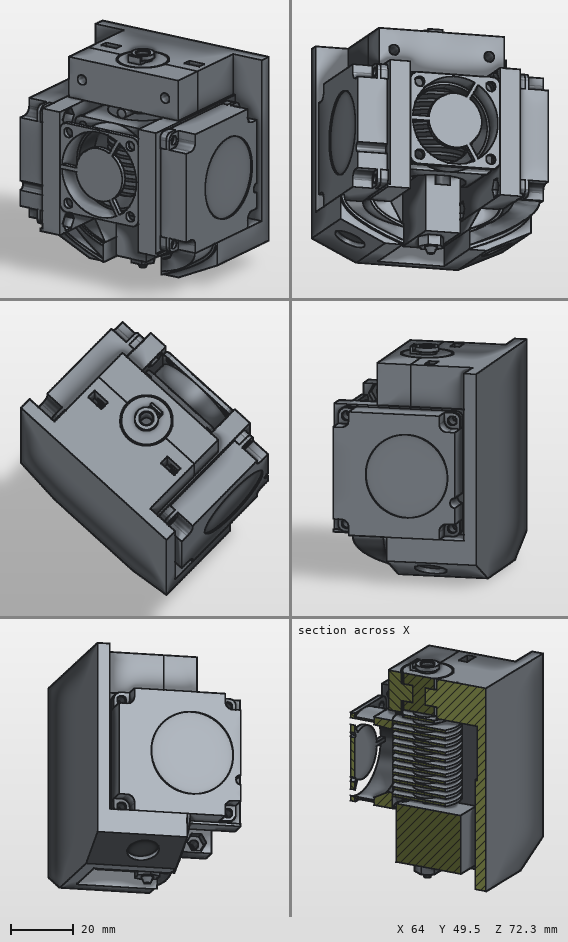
import cadquery as cq
import math


WIDTH = 64.0
HALF_WIDTH = WIDTH / 2
HEIGHT = 69.0
PLATE_THICKNESS = 4.05
FRONT_Y = -49.5
WALL_INNER_X = 15.1
WALL_OUTER_X = 21.8
WALL_BOTTOM_Z = 13.8
WALL_TOP_Z = 55.4
LIP_OUTER_X = 22.6
BASE_TOP_Z = 14.7
BASE_FRONT_Y = -29.5
CHAMFER_TOP_Z = 6.95
CHAMFER_BOTTOM_X = 17.05
CHAMFER_SLOPE = CHAMFER_TOP_Z / (HALF_WIDTH - CHAMFER_BOTTOM_X)
POCKET_HALF_WIDTH = 11.1
POCKET_SHOULDER_Z = 6.5
BACK_RECESS_HALF_WIDTH = 11.9
BACK_RECESS_DEPTH = 0.7

DISC_RECESS_DIAMETER = 10.3
DISC_RECESS_DEPTH = 1.65
DISC_RECESS_Y = -16.85
DISC_RECESS_Z = 3.55

DUCT_END_SLOPE = 0.36
RIM_FRONT_Y = -30.6
RIM_OUTER_END_Z = 0.1
DUCT_OUTER_X = 31.15
DUCT_OUTER_END_Z = 1.2
DUCT_INNER_X = 22.4
DUCT_INNER_END_Z = 5.6
RIM_INNER_X = 21.4
NEAR_DUCT_TOP_Y = -23.1
NEAR_DUCT_END_Y = -30.5
FAR_DUCT_TOP_Y = -41.0
DUCT_SECTIONS = 6

AXIS_Y = -24.5
BLOCK_HALF_WIDTH = 21.05
CLAMP_FRONT_Y = -35.6
CLAMP_SCREW_X = 16.0
CLAMP_SCREW_Z = 62.1
CLAMP_SCREW_DIAMETER = 3.3
NUT_SLOT_WIDTH = 5.8
NUT_SLOT_BACK_Y = -17.35
NUT_SLOT_FRONT_Y = -20.4
NUT_SUMP_WIDTH = 1.95
NUT_SUMP_LENGTH = 2.25
NUT_SUMP_DEPTH = 1.45

MOUNT_DIAMETER = 16.0
MOUNT_BORE_DIAMETER = 16.9
GROOVE_DIAMETER = 12.0
GROOVE_TOP_Z = 65.3
GROOVE_BOTTOM_Z = 59.3
FLANGE_BOTTOM_Z = 56.3
NECK_DIAMETER = 9.1
SMALL_FIN_TOP_Z = 54.8
FIN_DIAMETER = 22.35
FIN_THICKNESS = 1.0
FIN_COUNT = 11
FIN_TOP_Z = 52.1
FIN_BOTTOM_Z = 26.25
FIN_PITCH = (FIN_TOP_Z - FIN_THICKNESS - FIN_BOTTOM_Z) / (FIN_COUNT - 1)
PIN_DIAMETER = 3.2
PIN_X = -0.65
PIN_FRONT_Y = -35.7
PIN_Z = FIN_TOP_Z + PIN_DIAMETER / 2
BREAK_DIAMETER = 2.8
HEATER_LEFT_X = -4.5
HEATER_RIGHT_X = 7.0
HEATER_BACK_Y = -9.25
HEATER_FRONT_Y = -33.0
HEATER_BOTTOM_Z = 4.3
HEATER_TOP_Z = 24.2
CHANNEL_DIAMETER = 4.9
CHANNEL_BOTTOM_Z = 19.75
NOZZLE_HEX_CORNERS = 8.4
NOZZLE_HEX_BOTTOM_Z = 1.0
NOZZLE_CONE_DIAMETER = 4.0
NOZZLE_TIP_DIAMETER = 2.0
NOZZLE_HOLE_DIAMETER = 0.8
NOZZLE_HOLE_DEPTH = 1.1
COLLET_DIAMETER = 7.5
COLLET_NECK_DIAMETER = 6.0
OVERALL_HEIGHT = 72.3
COLLET_TOP_Z = 71.3
COLLET_FLANGE = 1.45
TUBE_DIAMETER = 4.2
TUBE_DEPTH = 6.5
TUBE_CHAMFER = 0.3
CLIP_WIDTH = 4.7
CLIP_FRONT_Y = -29.5
CLIP_THICKNESS = 0.9
TIP_Z = COLLET_TOP_Z - OVERALL_HEIGHT

FAN_SIZE = 30.0
FAN_BOTTOM_Z = 22.1
FAN_Z = FAN_BOTTOM_Z + FAN_SIZE / 2
FAN_BACK_Y = -41.0
FAN_FLANGE = 1.65
FAN_CORNER_RADIUS = 2.45
FAN_BORE_DIAMETER = 28.6
FAN_HUB_DIAMETER = 17.7
FAN_STRUT_WIDTH = 1.4
FAN_STRUT_ANGLES = (60, 180, 300)
FAN_OVERLAP = 0.35
FAN_HOLE_SPACING = 23.85
FAN_HOLE_DIAMETER = 3.2
SHROUD_WIDTH = 29.2
SHROUD_BACK_Y = -21.7
SHROUD_FLANGE = 1.4
SHROUD_MOUTH = 27.0
THROAT_HEIGHT = 24.6
THROAT_RISE = 1.2
SHROUD_SCREW_DIAMETER = 2.8
SHROUD_SCREW_DEPTH = 7.2

BLOWER_SIZE = 40.1
BLOWER_Y = -27.1
BLOWER_Z = BASE_TOP_Z + BLOWER_SIZE / 2
BLOWER_GAP = 0.3
BLOWER_LUG_THICKNESS = 1.2
BLOWER_PAD_HEIGHT = 2.4
BLOWER_LUG_SIZE = 5.1
BLOWER_LUG_INNER_RADIUS = 2.5
BLOWER_CORNER_RADIUS = 2.2
BLOWER_HOLE_SPACING = 35.0
BLOWER_HOLE_DIAMETER = 3.0
BLOWER_HUB_DIAMETER = 27.0
BLOWER_HUB_DEPTH = 0.5
BLOWER_HUB_OFFSET = 4.1
BLOWER_NOTCH_DIAMETER = 3.2
BLOWER_NOTCH_Z = 26.75
NUT_CORNER_DIAMETER = 6.35
NUT_POCKET_DEPTH = 3.6


def box(x_range, y_range, z_range):
    """Box between the given pairs of coordinates."""
    (x0, x1), (y0, y1), (z0, z1) = x_range, y_range, z_range
    size = (abs(x1 - x0), abs(y1 - y0), abs(z1 - z0))
    return cq.Workplane("XY").box(*size).translate(((x0 + x1) / 2, (y0 + y1) / 2, (z0 + z1) / 2))


def disc(diameter, z_bottom, z_top):
    """Upright cylinder on the hot end axis."""
    return cq.Workplane("XY", origin=(0, AXIS_Y, z_bottom)).circle(diameter / 2).extrude(z_top - z_bottom)


def facing_front(y_start):
    """Plane across Y at y_start; positive extrusion goes to the front."""
    return cq.Workplane("XZ", origin=(0, y_start, 0))


def square_corners(spacing):
    """Four corners of a square around the origin."""
    half = spacing / 2
    return [(u, v) for u in (-half, half) for v in (-half, half)]


def mirrored(shape):
    """The same shape on the other side of the middle plane."""
    return shape.mirror("YZ")


def duct_curve(start_x, start_z, end_z):
    """Control points of a curve that starts straight down and ends sloping into the heater pocket."""
    knee_z = end_z + DUCT_END_SLOPE * (start_x - POCKET_HALF_WIDTH)
    return [(-start_x, start_z), (-start_x, knee_z), (-POCKET_HALF_WIDTH, end_z)]


def curve_point(controls, t):
    """Point of a quadratic Bezier curve."""
    weights = ((1 - t) ** 2, 2 * t * (1 - t), t**2)
    return tuple(sum(w * p[axis] for w, p in zip(weights, controls)) for axis in (0, 1))


DUCT_OUTER_CURVE = duct_curve(DUCT_OUTER_X, BASE_TOP_Z, DUCT_OUTER_END_Z)
DUCT_INNER_CURVE = duct_curve(DUCT_INNER_X, BASE_TOP_Z, DUCT_INNER_END_Z)


def duct_rim():
    """Raised curved band on the front of the base."""
    outer = duct_curve(HALF_WIDTH, BASE_TOP_Z, RIM_OUTER_END_Z)
    inner = duct_curve(RIM_INNER_X, BASE_TOP_Z, POCKET_SHOULDER_Z)
    outline = facing_front(BASE_FRONT_Y).moveTo(*outer[0]).bezier(outer)
    outline = outline.lineTo(*inner[2]).bezier(inner[::-1]).close()
    return outline.extrude(BASE_FRONT_Y - RIM_FRONT_Y)


def duct_loft(y_fixed, y_top, y_end):
    """Solid along the duct from y_fixed to a face that shifts from y_top to y_end down the duct."""
    wires = []
    for i in range(DUCT_SECTIONS):
        t = i / (DUCT_SECTIONS - 1)
        outer_x, outer_z = curve_point(DUCT_OUTER_CURVE, t)
        inner_x, inner_z = curve_point(DUCT_INNER_CURVE, t)
        y_face = y_top + (y_end - y_top) * t**2
        corners = [
            (outer_x, y_fixed, outer_z),
            (inner_x, y_fixed, inner_z),
            (inner_x, y_face, inner_z),
            (outer_x, y_face, outer_z),
        ]
        wires.append(cq.Wire.makePolygon([cq.Vector(*c) for c in corners], close=True))
    return cq.Workplane(obj=cq.Solid.makeLoft(wires))


def blower_plane(x):
    """Plane across X at the blower centre; positive extrusion goes to +X."""
    return cq.Workplane("YZ", origin=(x, BLOWER_Y, BLOWER_Z))


def blower_corner_posts(x_start, x_end):
    """Four square posts that cover the lug areas and overhang the blower corners."""
    post_size = BLOWER_LUG_SIZE + 2 * BLOWER_LUG_INNER_RADIUS
    spacing = BLOWER_SIZE - 2 * BLOWER_LUG_SIZE + post_size
    posts = blower_plane(x_start).pushPoints(square_corners(spacing)).rect(post_size, post_size)
    return posts.extrude(x_end - x_start).edges("|X").fillet(BLOWER_LUG_INNER_RADIUS)


def blower_square(x_start, x_end):
    square = blower_plane(x_start).rect(BLOWER_SIZE, BLOWER_SIZE).extrude(x_end - x_start)
    return square.edges("|X").fillet(BLOWER_CORNER_RADIUS)


def blower_pads():
    """Corner pads on the left wall that carry the blower lugs."""
    span = (-WALL_OUTER_X - BLOWER_PAD_HEIGHT, -WALL_OUTER_X)
    return blower_square(*span).intersect(blower_corner_posts(*span))


def base_outline(top_z):
    half = [(HALF_WIDTH, top_z), (HALF_WIDTH, CHAMFER_TOP_Z), (CHAMFER_BOTTOM_X, 0)]
    return half + [(-x, z) for x, z in reversed(half)]


def heater_pocket():
    half = [
        (WALL_INNER_X, BASE_TOP_Z),
        (WALL_INNER_X, WALL_BOTTOM_Z),
        (POCKET_HALF_WIDTH, POCKET_SHOULDER_Z),
        (POCKET_HALF_WIDTH, 0),
    ]
    outline = half + [(-x, z) for x, z in reversed(half)]
    return facing_front(-PLATE_THICKNESS).polyline(outline).close().extrude(PLATE_THICKNESS - FRONT_Y)


def disc_recess():
    """Round recess square to the left chamfer face."""
    x = -HALF_WIDTH + (CHAMFER_TOP_Z - DISC_RECESS_Z) / CHAMFER_SLOPE
    angle = math.atan(CHAMFER_SLOPE)
    inward = cq.Vector(math.sin(angle), 0, math.cos(angle))
    return cq.Workplane(
        obj=cq.Solid.makeCylinder(
            DISC_RECESS_DIAMETER / 2, DISC_RECESS_DEPTH, cq.Vector(x, DISC_RECESS_Y, DISC_RECESS_Z), inward
        )
    )


def side_wall():
    """Left wall with the lip and pads for the blower and the blower screw holes with nut pockets."""
    wall = box((-WALL_OUTER_X, -WALL_INNER_X), (0, FRONT_Y), (WALL_BOTTOM_Z, WALL_TOP_Z))
    lip = box((-LIP_OUTER_X, -WALL_OUTER_X), (BASE_FRONT_Y, FRONT_Y), (WALL_BOTTOM_Z, BASE_TOP_Z))
    holes = (
        blower_plane(-WALL_OUTER_X - BLOWER_PAD_HEIGHT)
        .pushPoints(square_corners(BLOWER_HOLE_SPACING))
        .circle(BLOWER_HOLE_DIAMETER / 2)
        .extrude(BLOWER_PAD_HEIGHT + WALL_OUTER_X - WALL_INNER_X)
    )
    nuts = (
        blower_plane(-WALL_INNER_X - NUT_POCKET_DEPTH)
        .pushPoints(square_corners(BLOWER_HOLE_SPACING))
        .polygon(6, NUT_CORNER_DIAMETER)
        .extrude(NUT_POCKET_DEPTH)
    )
    return wall.union(lip).union(blower_pads()).cut(holes).cut(nuts)


def mount_bore():
    """Bore around the hot end, with a collar that fills its groove."""
    upper = disc(MOUNT_BORE_DIAMETER, GROOVE_TOP_Z, HEIGHT)
    collar = disc(GROOVE_DIAMETER, GROOVE_BOTTOM_Z, GROOVE_TOP_Z)
    lower = disc(MOUNT_BORE_DIAMETER, WALL_TOP_Z, GROOVE_BOTTOM_Z)
    return upper.union(collar).union(lower)


def clamp_screw_holes(y_start, y_end):
    points = [(-CLAMP_SCREW_X, CLAMP_SCREW_Z), (CLAMP_SCREW_X, CLAMP_SCREW_Z)]
    return facing_front(y_start).pushPoints(points).circle(CLAMP_SCREW_DIAMETER / 2).extrude(y_start - y_end)


def nut_slot(x):
    """Slot from the top with the V-shaped end of a hexagon nut and a small sump under it."""
    half = NUT_SLOT_WIDTH / 2
    corner_z = CLAMP_SCREW_Z - half * math.tan(math.radians(30))
    tip_z = CLAMP_SCREW_Z - half / math.cos(math.radians(30))
    outline = [(x - half, HEIGHT), (x - half, corner_z), (x, tip_z), (x + half, corner_z), (x + half, HEIGHT)]
    slot = facing_front(NUT_SLOT_BACK_Y).polyline(outline).close().extrude(NUT_SLOT_BACK_Y - NUT_SLOT_FRONT_Y)
    middle_y = (NUT_SLOT_BACK_Y + NUT_SLOT_FRONT_Y) / 2
    sump = box(
        (x - NUT_SUMP_WIDTH / 2, x + NUT_SUMP_WIDTH / 2),
        (middle_y - NUT_SUMP_LENGTH / 2, middle_y + NUT_SUMP_LENGTH / 2),
        (tip_z - NUT_SUMP_DEPTH, corner_z),
    )
    return slot.union(sump)


def make_housing():
    plate = facing_front(0).polyline(base_outline(HEIGHT)).close().extrude(PLATE_THICKNESS)
    base = facing_front(0).polyline(base_outline(BASE_TOP_Z)).close().extrude(-BASE_FRONT_Y)
    base = base.union(duct_rim()).union(mirrored(duct_rim()))
    base = base.cut(duct_loft(RIM_FRONT_Y, NEAR_DUCT_TOP_Y, NEAR_DUCT_END_Y))
    base = base.union(mirrored(duct_loft(BASE_FRONT_Y, FAR_DUCT_TOP_Y, RIM_FRONT_Y)))
    base = base.cut(disc_recess()).cut(mirrored(disc_recess()))
    block = box((-BLOCK_HALF_WIDTH, BLOCK_HALF_WIDTH), (0, AXIS_Y), (WALL_TOP_Z, HEIGHT))
    block = block.cut(mount_bore()).cut(clamp_screw_holes(NUT_SLOT_BACK_Y, AXIS_Y))
    for x in (-CLAMP_SCREW_X, CLAMP_SCREW_X):
        block = block.cut(nut_slot(x))
    housing = base.cut(heater_pocket()).union(plate)
    housing = housing.union(side_wall()).union(mirrored(side_wall())).union(block)
    back_recess = box(
        (-BACK_RECESS_HALF_WIDTH, BACK_RECESS_HALF_WIDTH),
        (BACK_RECESS_DEPTH - PLATE_THICKNESS, -PLATE_THICKNESS),
        (FAN_Z, WALL_TOP_Z),
    )
    return housing.cut(back_recess)


def make_clamp():
    clamp = box((-BLOCK_HALF_WIDTH, BLOCK_HALF_WIDTH), (AXIS_Y, CLAMP_FRONT_Y), (WALL_TOP_Z, HEIGHT))
    return clamp.cut(mount_bore()).cut(clamp_screw_holes(AXIS_Y, CLAMP_FRONT_Y))


def make_heat_sink():
    sink = disc(NECK_DIAMETER, FIN_BOTTOM_Z, FLANGE_BOTTOM_Z)
    sink = sink.union(disc(MOUNT_DIAMETER, GROOVE_TOP_Z, HEIGHT))
    sink = sink.union(disc(GROOVE_DIAMETER, GROOVE_BOTTOM_Z, GROOVE_TOP_Z))
    sink = sink.union(disc(MOUNT_DIAMETER, FLANGE_BOTTOM_Z, GROOVE_BOTTOM_Z))
    sink = sink.union(disc(MOUNT_DIAMETER, SMALL_FIN_TOP_Z - FIN_THICKNESS, SMALL_FIN_TOP_Z))
    for i in range(FIN_COUNT):
        top_z = FIN_TOP_Z - i * FIN_PITCH
        sink = sink.union(disc(FIN_DIAMETER, top_z - FIN_THICKNESS, top_z))
    pin = facing_front(AXIS_Y).center(PIN_X, PIN_Z).circle(PIN_DIAMETER / 2).extrude(AXIS_Y - PIN_FRONT_Y)
    heat_break = disc(BREAK_DIAMETER, HEATER_TOP_Z, FIN_BOTTOM_Z)
    return sink.union(pin).union(heat_break)


def make_collet():
    flange_bottom = COLLET_TOP_Z - COLLET_FLANGE
    collet = disc(COLLET_DIAMETER, flange_bottom, COLLET_TOP_Z)
    collet = collet.union(disc(COLLET_NECK_DIAMETER, HEIGHT, flange_bottom))
    clip_x = (-CLIP_WIDTH / 2, CLIP_WIDTH / 2)
    foot = box(clip_x, (AXIS_Y, CLIP_FRONT_Y), (HEIGHT, flange_bottom))
    tab = box(clip_x, (CLIP_FRONT_Y + CLIP_THICKNESS, CLIP_FRONT_Y), (HEIGHT, COLLET_TOP_Z))
    return collet.union(foot).union(tab)


def make_heater():
    x_range = (HEATER_LEFT_X, HEATER_RIGHT_X)
    heater = box(x_range, (HEATER_BACK_Y, HEATER_FRONT_Y), (HEATER_BOTTOM_Z, HEATER_TOP_Z))
    channel = (
        cq.Workplane("XY", origin=(sum(x_range) / 2, HEATER_FRONT_Y, CHANNEL_BOTTOM_Z))
        .circle(CHANNEL_DIAMETER / 2)
        .extrude(HEATER_TOP_Z - CHANNEL_BOTTOM_Z)
    )
    return heater.cut(channel)


def make_nozzle():
    hexagon = (
        cq.Workplane("XY", origin=(0, AXIS_Y, NOZZLE_HEX_BOTTOM_Z))
        .polygon(6, NOZZLE_HEX_CORNERS)
        .extrude(HEATER_BOTTOM_Z - NOZZLE_HEX_BOTTOM_Z)
    )
    cone = (
        cq.Workplane("XY", origin=(0, AXIS_Y, NOZZLE_HEX_BOTTOM_Z))
        .circle(NOZZLE_CONE_DIAMETER / 2)
        .workplane(offset=TIP_Z - NOZZLE_HEX_BOTTOM_Z)
        .circle(NOZZLE_TIP_DIAMETER / 2)
        .loft()
    )
    return hexagon.union(cone).cut(disc(NOZZLE_HOLE_DIAMETER, TIP_Z, TIP_Z + NOZZLE_HOLE_DEPTH))


def make_hot_end():
    hot_end = make_heat_sink().union(make_collet()).union(make_heater()).union(make_nozzle())
    bore = disc(TUBE_DIAMETER, COLLET_TOP_Z - TUBE_DEPTH, COLLET_TOP_Z)
    mouth = cq.Workplane("XY", origin=(0, AXIS_Y, COLLET_TOP_Z)).circle(TUBE_DIAMETER / 2 + TUBE_CHAMFER)
    mouth = mouth.workplane(offset=-TUBE_CHAMFER).circle(TUBE_DIAMETER / 2).loft()
    return hot_end.cut(bore).cut(mouth)


def rounded_plate(width, y_start, y_end):
    """Rounded rectangle of the fan's height, centred on the fan axis."""
    plate = facing_front(y_start).center(0, FAN_Z).rect(width, FAN_SIZE).extrude(y_start - y_end)
    return plate.edges("|Y").fillet(FAN_CORNER_RADIUS)


def fan_axis_cylinder(diameter, y_start, y_end):
    return facing_front(y_start).center(0, FAN_Z).circle(diameter / 2).extrude(y_start - y_end)


def fan_holes(diameter, y_start, y_end):
    holes = facing_front(y_start).center(0, FAN_Z).pushPoints(square_corners(FAN_HOLE_SPACING))
    return holes.circle(diameter / 2).extrude(y_start - y_end)


def make_front_fan():
    fan = fan_axis_cylinder(FAN_SIZE, FAN_BACK_Y, FRONT_Y)
    fan = fan.union(rounded_plate(FAN_SIZE, FRONT_Y + FAN_FLANGE, FRONT_Y))
    fan = fan.cut(fan_axis_cylinder(FAN_BORE_DIAMETER, FAN_BACK_Y, FRONT_Y))
    fan = fan.cut(fan_holes(FAN_HOLE_DIAMETER, FRONT_Y + FAN_FLANGE, FRONT_Y))
    front_layer = (FRONT_Y + FAN_FLANGE, FRONT_Y)
    fan = fan.union(fan_axis_cylinder(FAN_HUB_DIAMETER, *front_layer))
    strut_length = (FAN_HUB_DIAMETER / 2 - FAN_OVERLAP, FAN_BORE_DIAMETER / 2 + FAN_OVERLAP)
    for angle in FAN_STRUT_ANGLES:
        strut = box(strut_length, front_layer, (-FAN_STRUT_WIDTH / 2, FAN_STRUT_WIDTH / 2))
        strut = strut.rotate((0, 0, 0), (0, -1, 0), angle).translate((0, 0, FAN_Z))
        fan = fan.union(strut)
    return fan


def shroud_throat_outline(y):
    """Upright ellipse that faces the fins, a little above the fan axis."""
    return facing_front(y).center(0, FAN_Z + THROAT_RISE).ellipse(FIN_DIAMETER / 2, THROAT_HEIGHT / 2)


def make_shroud():
    """Sleeve around the fins with a fan flange; its air passage narrows from the fan to the fins."""
    shroud = rounded_plate(SHROUD_WIDTH, SHROUD_BACK_Y, FAN_BACK_Y)
    shroud = shroud.union(rounded_plate(FAN_SIZE, FAN_BACK_Y + SHROUD_FLANGE, FAN_BACK_Y))
    fins_front_y = AXIS_Y - FIN_DIAMETER / 2
    shroud = shroud.cut(disc(FIN_DIAMETER, FAN_BOTTOM_Z, FAN_BOTTOM_Z + FAN_SIZE))
    shroud = shroud.cut(shroud_throat_outline(AXIS_Y).extrude(AXIS_Y - fins_front_y))
    funnel = shroud_throat_outline(fins_front_y).workplane(offset=fins_front_y - FAN_BACK_Y)
    funnel = funnel.center(0, -THROAT_RISE).ellipse(SHROUD_MOUTH / 2, SHROUD_MOUTH / 2).loft()
    shroud = shroud.cut(funnel)
    return shroud.cut(fan_holes(SHROUD_SCREW_DIAMETER, FAN_BACK_Y + SHROUD_SCREW_DEPTH, FAN_BACK_Y))


def make_left_blower():
    """Square blower with thin corner lugs, a wire notch and an off-centre hub recess."""
    back_x = -WALL_OUTER_X - BLOWER_GAP
    thickness = back_x + HALF_WIDTH
    lug_back_x = -WALL_OUTER_X - BLOWER_PAD_HEIGHT
    blower = blower_square(-HALF_WIDTH, back_x)
    blower = blower.cut(blower_corner_posts(-HALF_WIDTH, lug_back_x - BLOWER_LUG_THICKNESS))
    blower = blower.cut(blower_corner_posts(lug_back_x, back_x))
    holes = blower_plane(-HALF_WIDTH).pushPoints(square_corners(BLOWER_HOLE_SPACING))
    blower = blower.cut(holes.circle(BLOWER_HOLE_DIAMETER / 2).extrude(thickness))
    hub = blower_plane(-HALF_WIDTH).center(-BLOWER_HUB_OFFSET, 0).circle(BLOWER_HUB_DIAMETER / 2)
    blower = blower.cut(hub.extrude(BLOWER_HUB_DEPTH))
    notch = blower_plane(-HALF_WIDTH).center(-BLOWER_SIZE / 2, BLOWER_NOTCH_Z - BLOWER_Z)
    return blower.cut(notch.circle(BLOWER_NOTCH_DIAMETER / 2).extrude(thickness))


def make_blowers():
    """The same blower on both sides, the right one turned half a turn about the upright axis."""
    blowers = []
    for turn in (0, 180):
        axis_bottom = (0, BLOWER_Y, 0)
        axis_top = (0, BLOWER_Y, 1)
        blowers.append(make_left_blower().rotate(axis_bottom, axis_top, turn).val())
    return blowers


housing = make_housing()
clamp = make_clamp()
hot_end = make_hot_end()
front_fan = make_front_fan()
shroud = make_shroud()
blowers = make_blowers()

result = cq.Compound.makeCompound(
    [housing.val(), clamp.val(), hot_end.val(), front_fan.val(), shroud.val(), *blowers]
)